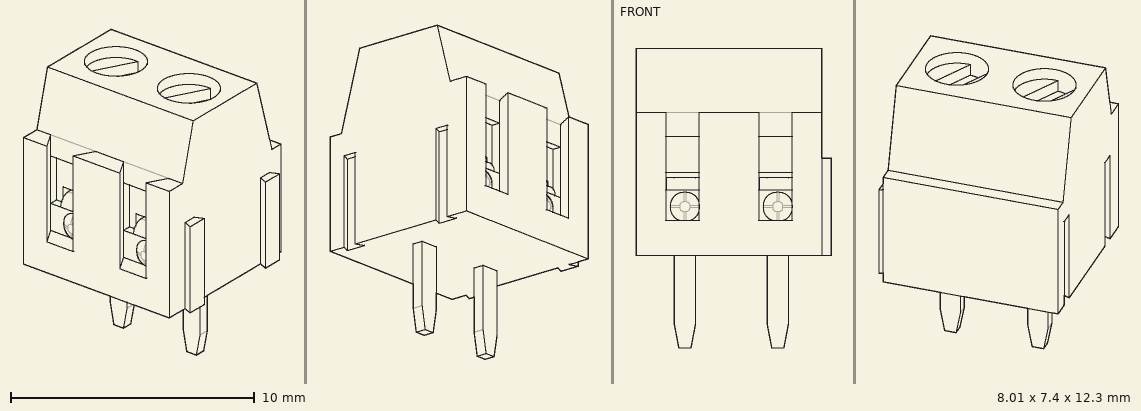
import cadquery as cq
import math


WAY_COUNT = 2
PITCH = 3.81
WAY_CENTRES = [(i - (WAY_COUNT - 1) / 2) * PITCH for i in range(WAY_COUNT)]

HOUSING_WIDTH = WAY_COUNT * PITCH
HOUSING_DEPTH = 7.4
HOUSING_HEIGHT = 8.5
FRONT_STEP_DEPTH = 0.89
FRONT_STEP_HEIGHT = 5.88
BACK_STEP_DEPTH = 0.6
BACK_STEP_HEIGHT = 5.0
ROOF_FRONT_INSET = 1.59
ROOF_BACK_INSET = 1.6

RIB_HEIGHT = 4.0
RIB_PROJECTION = 0.39
RIB_NECK = 0.6
RIB_TIP = 0.93
RIB_CENTRES = [1.35, HOUSING_DEPTH - 1.06]

ENTRY_FRONT_WIDTH = 1.37
ENTRY_BACK_WIDTH = 2.36
ENTRY_FLOOR = 1.44
SHELF_HEIGHT = 2.69
CHAMBER_TOP = 4.9
CHAMBER_BACK = 1.28

SCREW_CENTRE_DEPTH = 3.71
SCREW_DIAMETER = 2.6
SCREW_RECESS = 0.5
SCREW_TOP = HOUSING_HEIGHT - SCREW_RECESS
SCREW_HEIGHT = 2.0
SLOT_WIDTH = 1.0
SLOT_DEPTH = 0.5
SLOT_ANGLE = 62.0

CONTACT_OFFSET = 0.1

PIN_WIDTH = 0.89
PIN_THICKNESS = 0.49
PIN_FRONT = 3.76
PIN_TIP_WIDTH = 0.5
PIN_TAPER_HEIGHT = 1.0
OVERALL_HEIGHT = 12.3
PIN_DROP = OVERALL_HEIGHT - HOUSING_HEIGHT

CLAMP_WIDTH = 1.51
CLAMP_TOP = 3.2
NOSE_RADIUS = CLAMP_TOP - SHELF_HEIGHT
PASSAGE_WIDTH = 1.71
PASSAGE_TOP = 3.41
DOME_CENTRE_HEIGHT = 2.0
DOME_WIDTH = 1.32
DOME_CORNER_RADIUS = 0.62
DOME_ROUNDING = 0.45
DOME_PROJECTION = 0.22
CLAMP_BOTTOM = DOME_CENTRE_HEIGHT - DOME_WIDTH / 2


def block(x_centre, width, y_front, y_back, z_bottom, z_top):
    """Box centred on x_centre, between the given Y and Z limits."""
    size = (width, y_back - y_front, z_top - z_bottom)
    corner = (x_centre - width / 2, y_front, z_bottom)
    return cq.Workplane().box(*size, centered=False).translate(corner)


def dovetail(x_neck, y_centre):
    """Upright dovetail bar whose narrow side is at x_neck, widening towards +X."""
    return (
        cq.Workplane()
        .moveTo(x_neck, y_centre - RIB_NECK / 2)
        .lineTo(x_neck + RIB_PROJECTION, y_centre - RIB_TIP / 2)
        .lineTo(x_neck + RIB_PROJECTION, y_centre + RIB_TIP / 2)
        .lineTo(x_neck, y_centre + RIB_NECK / 2)
        .close()
        .extrude(RIB_HEIGHT)
    )


def wire_entry(x):
    """Front slot that widens inwards, and the chamber behind it above the shelf."""
    slot = (
        cq.Workplane()
        .workplane(offset=ENTRY_FLOOR)
        .moveTo(x - ENTRY_FRONT_WIDTH / 2, 0)
        .lineTo(x + ENTRY_FRONT_WIDTH / 2, 0)
        .lineTo(x + ENTRY_BACK_WIDTH / 2, FRONT_STEP_DEPTH)
        .lineTo(x - ENTRY_BACK_WIDTH / 2, FRONT_STEP_DEPTH)
        .close()
        .extrude(FRONT_STEP_HEIGHT - ENTRY_FLOOR)
    )
    chamber = block(x, ENTRY_BACK_WIDTH, FRONT_STEP_DEPTH, CHAMBER_BACK, SHELF_HEIGHT, CHAMBER_TOP)
    return slot.union(chamber)


def make_screw(x):
    """Screw with a slanted driver slot across its top."""
    body = cq.Workplane().circle(SCREW_DIAMETER / 2).extrude(-SCREW_HEIGHT)
    driver_slot = (
        cq.Workplane()
        .rect(2 * SCREW_DIAMETER, SLOT_WIDTH)
        .extrude(-SLOT_DEPTH)
        .rotate((0, 0, 0), (0, 0, 1), SLOT_ANGLE)
    )
    return body.cut(driver_slot).translate((x, SCREW_CENTRE_DEPTH, SCREW_TOP))


def screw_hole(x):
    """Round hole from the roof down to the underside of the screw."""
    return (
        cq.Workplane()
        .circle(SCREW_DIAMETER / 2)
        .extrude(SCREW_HEIGHT + SCREW_RECESS)
        .translate((x, SCREW_CENTRE_DEPTH, SCREW_TOP - SCREW_HEIGHT))
    )


def make_pin(x):
    """Flat pin with a tapered tip, reaching up behind the clamp."""
    return (
        cq.Workplane("XZ", origin=(x + CONTACT_OFFSET, PIN_FRONT, 0))
        .moveTo(-PIN_TIP_WIDTH / 2, -PIN_DROP)
        .lineTo(PIN_TIP_WIDTH / 2, -PIN_DROP)
        .lineTo(PIN_WIDTH / 2, -PIN_DROP + PIN_TAPER_HEIGHT)
        .lineTo(PIN_WIDTH / 2, CLAMP_TOP)
        .lineTo(-PIN_WIDTH / 2, CLAMP_TOP)
        .lineTo(-PIN_WIDTH / 2, -PIN_DROP + PIN_TAPER_HEIGHT)
        .close()
        .extrude(-PIN_THICKNESS)
    )


def make_clamp(x):
    """Clamp block with a rounded nose on the shelf and a domed boss through the wall below."""
    x_contact = x + CONTACT_OFFSET
    nose_inset = NOSE_RADIUS * (1 - math.cos(math.radians(45)))
    nose_middle = (FRONT_STEP_DEPTH + nose_inset, CLAMP_TOP - nose_inset)
    body = (
        cq.Workplane("YZ", origin=(x_contact - CLAMP_WIDTH / 2, 0, 0))
        .moveTo(FRONT_STEP_DEPTH, SHELF_HEIGHT)
        .threePointArc(nose_middle, (FRONT_STEP_DEPTH + NOSE_RADIUS, CLAMP_TOP))
        .lineTo(PIN_FRONT, CLAMP_TOP)
        .lineTo(PIN_FRONT, CLAMP_BOTTOM)
        .lineTo(CHAMBER_BACK, CLAMP_BOTTOM)
        .lineTo(CHAMBER_BACK, SHELF_HEIGHT)
        .close()
        .extrude(CLAMP_WIDTH)
    )
    dome_front = FRONT_STEP_DEPTH - DOME_PROJECTION
    dome = (
        block(x_contact, DOME_WIDTH, dome_front, CHAMBER_BACK, CLAMP_BOTTOM, CLAMP_BOTTOM + DOME_WIDTH)
        .edges("|Y")
        .fillet(DOME_CORNER_RADIUS)
        .faces("<Y")
        .edges()
        .fillet(DOME_ROUNDING)
    )
    return body.union(dome)


def clamp_passage(x):
    """Passage from the chamber inwards, which leaves room around the top of the clamp."""
    return block(x, PASSAGE_WIDTH, CHAMBER_BACK, PIN_FRONT, SHELF_HEIGHT, PASSAGE_TOP)


def make_housing(contacts):
    """Stepped housing with ribs, grooves, wire entries and a seat for every contact body."""
    outline = [
        (0, 0),
        (HOUSING_DEPTH, 0),
        (HOUSING_DEPTH, BACK_STEP_HEIGHT),
        (HOUSING_DEPTH - BACK_STEP_DEPTH, BACK_STEP_HEIGHT),
        (HOUSING_DEPTH - ROOF_BACK_INSET, HOUSING_HEIGHT),
        (ROOF_FRONT_INSET, HOUSING_HEIGHT),
        (FRONT_STEP_DEPTH, FRONT_STEP_HEIGHT),
        (0, FRONT_STEP_HEIGHT),
    ]
    body = cq.Workplane("YZ").polyline(outline).close().extrude(HOUSING_WIDTH / 2, both=True)
    for y in RIB_CENTRES:
        body = body.union(dovetail(HOUSING_WIDTH / 2, y))
        body = body.cut(dovetail(-HOUSING_WIDTH / 2, y))
    for x in WAY_CENTRES:
        body = body.cut(wire_entry(x)).cut(screw_hole(x)).cut(clamp_passage(x))
    for contact in contacts:
        body = body.cut(contact)
    return body


screws = [make_screw(x) for x in WAY_CENTRES]
pins = [make_pin(x) for x in WAY_CENTRES]
clamps = [make_clamp(x) for x in WAY_CENTRES]
housing = make_housing(pins + clamps)

result = cq.Compound.makeCompound(
    [housing.val(), *[body.val() for body in screws + pins + clamps]]
)